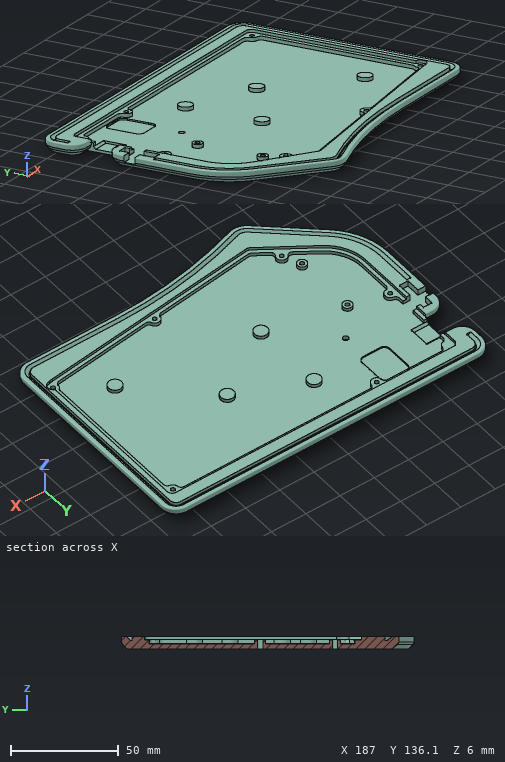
import cadquery as cq
import math


LENGTH = 187.0
WIDTH = 136.1
THICKNESS = 6.0
LEDGE_Z = THICKNESS * 3 / 4
FLOOR_Z = 2.6
CONNECTOR_Z = THICKNESS / 4
ABOVE_TOP_Z = 2 * THICKNESS

CORNER_R = 8.5
SHOULDER_R = 37.4
DIAGONAL_ANGLE = math.radians(41.5)
TOE_R = 10.1
TOE_X = 47.7
SWEEP_END_X = 127.3
BOTTOM_Y = 13.3

CHAMFER = 2.6
CHAMFER_EASE = 0.7
TOP_FILLET = 0.5

GAP_BOTTOM = 100.2
GAP_TOP = 114.8
GAP_X = 12.0
LOBE_R = 7.7

GROOVE_OUTER_INSET = 2.5
GROOVE_INNER_INSET = 4.9
GROOVE_DEPTH = 1.9
GROOVE_BREAK_BOTTOM = 76.3
GROOVE_BREAK_TOP = 122.1

POCKET_RIGHT = 179.5
POCKET_TOP = 125.1
POCKET_TOE = (50.5, 14.5)
POCKET_RIGHT_BOTTOM_Y = 30.1
POCKET_SHOULDER_Y = 41.3
POCKET_SHOULDER_R = 24.0
POCKET_CORNER_R = 2.8
LEDGE_WIDTH = 2.0
RIGHT_LEDGE_WIDTH = 2.5

LUG_R = 3.0
LUG_BLEND_R = 2.2
SCREW_HOLE_D = 2.2
TOP_LUG_Y = 121.4
LUG_HOLES = [(56.7, TOP_LUG_Y), (175.5, TOP_LUG_Y), (15.5, 77.6), (40.4, 27.1), (113.0, 25.0), (178.5, 33.3)]
BLIND_LUG = (15.1, TOP_LUG_Y)

DISC_D = 7.5
DISCS = [(78.5, 102.1), (78.5, 61.3), (116.7, 85.6), (154.5, 49.2)]
STANDOFF_D = 5.2
STANDOFFS = [(35.9, 71.6), (35.9, 36.8)]
VENT_D = 3.0
VENT = (49.0, 87.5)
WINDOW_SIZE = (15.9, 19.8)
WINDOW_CENTER = (44.9, 112.2)
WINDOW_R = 3.0
WINDOW_DEPTH = 0.7

CONNECTOR_BOTTOM = 101.5
CONNECTOR_TOP = 113.7
CONNECTOR_END_X = 21.5
CONNECTOR_SIDE_RUN = 1.3

LATCH_STEPS = [(0, 4.9, 84.9, 90.7), (4.9, 10.0, 77.2, 95.7), (10.0, 15.0, 85.5, 93.3)]


def box(x0, x1, y0, y1, z0, z1):
    return cq.Workplane("XY").box(x1 - x0, y1 - y0, z1 - z0, centered=False).translate((x0, y0, z0))


def cylinders(points, diameter, z0, z1):
    return cq.Workplane("XY").workplane(offset=z0).pushPoints(points).circle(diameter / 2).extrude(z1 - z0)


def on_circle(center, radius, angle):
    return (center[0] + radius * math.cos(angle), center[1] + radius * math.sin(angle))


def outline(gap_x=None):
    """Outer outline; its left side is straight, or cut by the gap as far in as gap_x."""
    toe = (TOE_X, TOE_R)
    toe_rise = BOTTOM_Y - TOE_R
    sweep_r = ((SWEEP_END_X - TOE_X) ** 2 + toe_rise**2 - TOE_R**2) / (2 * (TOE_R + toe_rise))
    sweep = (SWEEP_END_X, BOTTOM_Y - sweep_r)
    toe_start = -math.pi / 2 - DIAGONAL_ANGLE
    toe_end = math.atan2(sweep[1] - toe[1], sweep[0] - toe[0])
    sweep_start = toe_end + math.pi
    sweep_mid = (sweep_start + math.pi / 2) / 2

    toe_point = on_circle(toe, TOE_R, toe_start)
    shoulder_end_x = SHOULDER_R * (1 - math.sin(DIAGONAL_ANGLE))
    shoulder_end_y = toe_point[1] + (toe_point[0] - shoulder_end_x) * math.tan(DIAGONAL_ANGLE)
    shoulder = (SHOULDER_R, shoulder_end_y + SHOULDER_R * math.cos(DIAGONAL_ANGLE))
    shoulder_mid = (math.pi + toe_start + 2 * math.pi) / 2

    path = (
        cq.Workplane("XY")
        .moveTo(0, shoulder[1])
        .threePointArc(on_circle(shoulder, SHOULDER_R, shoulder_mid), (shoulder_end_x, shoulder_end_y))
        .lineTo(*toe_point)
        .threePointArc(on_circle(toe, TOE_R, (toe_start + toe_end) / 2), on_circle(toe, TOE_R, toe_end))
        .threePointArc(on_circle(sweep, sweep_r, sweep_mid), (SWEEP_END_X, BOTTOM_Y))
        .lineTo(LENGTH - CORNER_R, BOTTOM_Y)
        .tangentArcPoint((CORNER_R, CORNER_R))
        .lineTo(LENGTH, WIDTH - CORNER_R)
        .tangentArcPoint((-CORNER_R, CORNER_R))
        .lineTo(CORNER_R, WIDTH)
        .tangentArcPoint((-CORNER_R, -CORNER_R))
    )
    if gap_x is not None:
        path = (
            path.lineTo(0, GAP_TOP + LOBE_R)
            .tangentArcPoint((LOBE_R, -LOBE_R))
            .lineTo(gap_x, GAP_TOP)
            .lineTo(gap_x, GAP_BOTTOM)
            .lineTo(LOBE_R, GAP_BOTTOM)
            .tangentArcPoint((-LOBE_R, -LOBE_R))
        )
    return path.close()


def plate():
    deep_gap_x = GAP_X + CHAMFER
    body = outline(deep_gap_x).extrude(THICKNESS).faces("<Z").chamfer(CHAMFER)

    tolerance = 0.2
    chamfer_rim = cq.selectors.BoxSelector(
        (-tolerance, -tolerance, CHAMFER - tolerance),
        (LENGTH + tolerance, WIDTH + tolerance, CHAMFER + tolerance),
        boundingbox=True,
    )
    body = body.edges(chamfer_rim).chamfer(CHAMFER_EASE)
    body = body.faces(">Z").edges().fillet(TOP_FILLET)

    filler = box(GAP_X, deep_gap_x + CHAMFER, GAP_BOTTOM - CHAMFER, GAP_TOP + CHAMFER, 0, THICKNESS)
    return body.union(filler)


def groove():
    outer = outline().offset2D(-GROOVE_OUTER_INSET).extrude(THICKNESS)
    outer = outer.faces("<Z").chamfer(GROOVE_DEPTH).translate((0, 0, THICKNESS - GROOVE_DEPTH))
    inner = outline().offset2D(-GROOVE_INNER_INSET).extrude(ABOVE_TOP_Z)
    rim_break = box(0, GAP_X, GROOVE_BREAK_BOTTOM, GROOVE_BREAK_TOP, 0, ABOVE_TOP_Z)
    return outer.cut(inner).cut(rim_break)


def pocket_outline():
    corners = [
        (GAP_X, POCKET_SHOULDER_Y),
        POCKET_TOE,
        (POCKET_RIGHT, POCKET_RIGHT_BOTTOM_Y),
        (POCKET_RIGHT, POCKET_TOP),
        (GAP_X, POCKET_TOP),
    ]
    return cq.Workplane("XY").polyline(corners).close()


def round_corners(prism, shoulder_r, corner_r):
    """Round the upright edges: the lower-left one by shoulder_r, all others by corner_r."""
    near_shoulder = cq.selectors.NearestToPointSelector((GAP_X, POCKET_SHOULDER_Y, THICKNESS))
    shoulder_edge = prism.edges("|Z").edges(near_shoulder).val()
    other_edges = [edge for edge in prism.edges("|Z").vals() if not edge.isSame(shoulder_edge)]
    prism = prism.newObject(other_edges).fillet(corner_r)
    return prism.edges("|Z").edges(near_shoulder).fillet(shoulder_r)


def pocket():
    upper = pocket_outline().extrude(THICKNESS).translate((0, 0, LEDGE_Z))
    upper = round_corners(upper, POCKET_SHOULDER_R, POCKET_CORNER_R)
    upper = upper.union(cylinders(LUG_HOLES, 2 * LUG_R, LEDGE_Z, LEDGE_Z + THICKNESS))

    lower = pocket_outline().offset2D(-LEDGE_WIDTH).extrude(THICKNESS).translate((0, 0, FLOOR_Z))
    lower = lower.cut(box(POCKET_RIGHT - RIGHT_LEDGE_WIDTH, LENGTH, 0, WIDTH, 0, ABOVE_TOP_Z))
    lower = lower.cut(cylinders(LUG_HOLES + [BLIND_LUG], 2 * LUG_R, 0, ABOVE_TOP_Z))
    lower = round_corners(lower, POCKET_SHOULDER_R - LEDGE_WIDTH, LUG_BLEND_R)
    return upper.union(lower)


def latch_channel():
    channel = cq.Workplane("XY")
    for x0, x1, y0, y1 in LATCH_STEPS:
        channel = channel.union(box(x0, x1, y0, y1, FLOOR_Z, ABOVE_TOP_Z))
    return channel


def connector_recess():
    opening = box(GAP_X, CONNECTOR_END_X, CONNECTOR_BOTTOM, CONNECTOR_TOP, FLOOR_Z, ABOVE_TOP_Z)
    trough_section = [
        (CONNECTOR_BOTTOM, FLOOR_Z),
        (CONNECTOR_BOTTOM + CONNECTOR_SIDE_RUN, CONNECTOR_Z),
        (CONNECTOR_TOP - CONNECTOR_SIDE_RUN, CONNECTOR_Z),
        (CONNECTOR_TOP, FLOOR_Z),
    ]
    trough = cq.Workplane("YZ").polyline(trough_section).close().extrude(CONNECTOR_END_X - GAP_X)
    return opening.union(trough.translate((GAP_X, 0, 0)))


def window_recess():
    recess = cq.Workplane("XY").rect(*WINDOW_SIZE).extrude(WINDOW_DEPTH).edges("|Z").fillet(WINDOW_R)
    return recess.translate((*WINDOW_CENTER, FLOOR_Z - WINDOW_DEPTH))


result = plate().cut(groove()).cut(pocket()).cut(latch_channel()).cut(connector_recess()).cut(window_recess())
result = result.union(cylinders(DISCS, DISC_D, FLOOR_Z, LEDGE_Z))
result = result.union(cylinders(STANDOFFS, STANDOFF_D, FLOOR_Z, LEDGE_Z))
result = result.cut(cylinders(LUG_HOLES + STANDOFFS, SCREW_HOLE_D, 0, THICKNESS))
result = result.cut(cylinders([VENT], VENT_D, 0, THICKNESS))